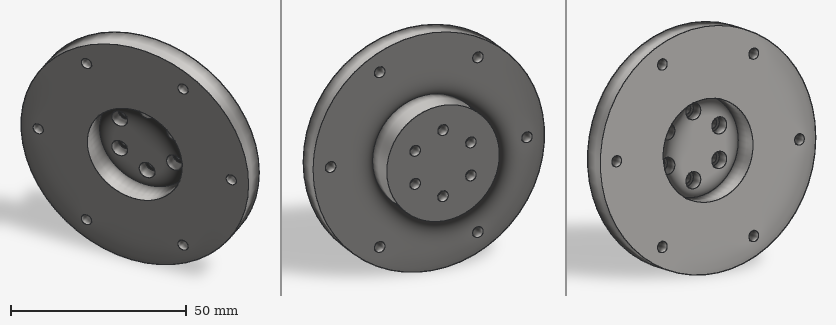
import cadquery as cq

flange_diameter = 72
flange_thickness = 7.0
hub_diameter = 35.0
hub_length = 10.0
total_depth = flange_thickness + hub_length

recess_diameter = 30.0
recess_depth = 8.0

holes_per_ring = 6
hole_diameter = 3.25
flange_ring_radius = 30.5
hub_ring_radius = 10.0
counterbore_diameter = 5.0
counterbore_depth = 4.0


def cylinder(diameter, start, length):
    """Solid cylinder along +Y, beginning at Y = start."""
    plane = cq.Plane(origin=(0, start, 0), xDir=(1, 0, 0), normal=(0, 1, 0))
    return cq.Workplane(plane).circle(diameter / 2).extrude(length)


def cylinder_ring(diameter, ring_radius, first_angle, start, length):
    """Evenly spaced cylinders along +Y, beginning at Y = start."""
    plane = cq.Plane(origin=(0, start, 0), xDir=(1, 0, 0), normal=(0, 1, 0))
    return (
        cq.Workplane(plane)
        .polarArray(ring_radius, first_angle, 360, holes_per_ring)
        .circle(diameter / 2)
        .extrude(length)
    )


flange = cylinder(flange_diameter, 0, flange_thickness)
hub = cylinder(hub_diameter, flange_thickness, hub_length)
recess = cylinder(recess_diameter, 0, recess_depth)
body = flange.union(hub).cut(recess)

flange_holes = cylinder_ring(hole_diameter, flange_ring_radius, 0, 0, flange_thickness)

hub_holes = cylinder_ring(hole_diameter, hub_ring_radius, 90, 0, total_depth)
counterbores = cylinder_ring(
    counterbore_diameter, hub_ring_radius, 90, recess_depth, counterbore_depth
)

result = body.cut(flange_holes).cut(hub_holes).cut(counterbores)